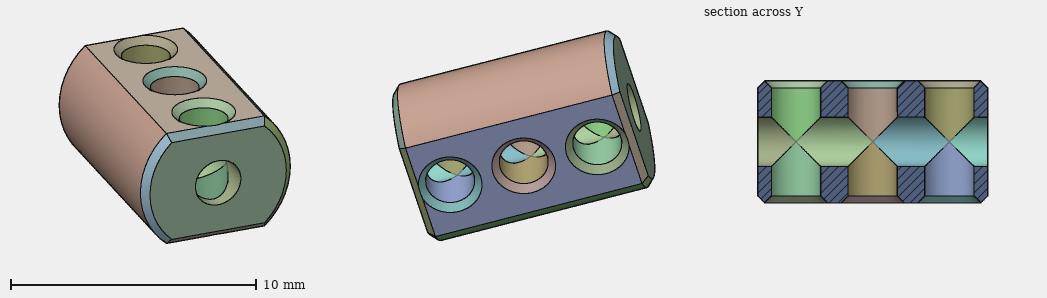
import cadquery as cq

length = 9.38
round_diameter = 6.6
flat_height = 5.0
hole_diameter = 2.0
edge_chamfer = 0.3
cross_hole_count = 3

hole_pitch = length / cross_hole_count
hole_radius = hole_diameter / 2
mouth_radius = hole_radius + edge_chamfer
half_height = flat_height / 2


def make_body():
    """Round bar along X with top and bottom flats and chamfered ends."""
    bar = cq.Workplane("YZ").circle(round_diameter / 2).extrude(length / 2, both=True)
    flats = cq.Workplane("XY").box(length, round_diameter, flat_height)
    return bar.intersect(flats).faces("<X or >X").chamfer(edge_chamfer)


def make_axial_hole():
    return cq.Workplane("YZ").circle(hole_radius).extrude(length / 2, both=True)


def make_cross_hole(x):
    """Vertical through hole at x, countersunk at both flats."""
    half_profile = [
        (0, -half_height),
        (mouth_radius, -half_height),
        (hole_radius, -half_height + edge_chamfer),
        (hole_radius, half_height - edge_chamfer),
        (mouth_radius, half_height),
        (0, half_height),
    ]
    cutter = cq.Workplane("XZ").polyline(half_profile).close().revolve(360, (0, 0), (0, 1))
    return cutter.translate((x, 0, 0))


result = make_body().cut(make_axial_hole())
for index in range(cross_hole_count):
    hole_x = (index - (cross_hole_count - 1) / 2) * hole_pitch
    result = result.cut(make_cross_hole(hole_x))